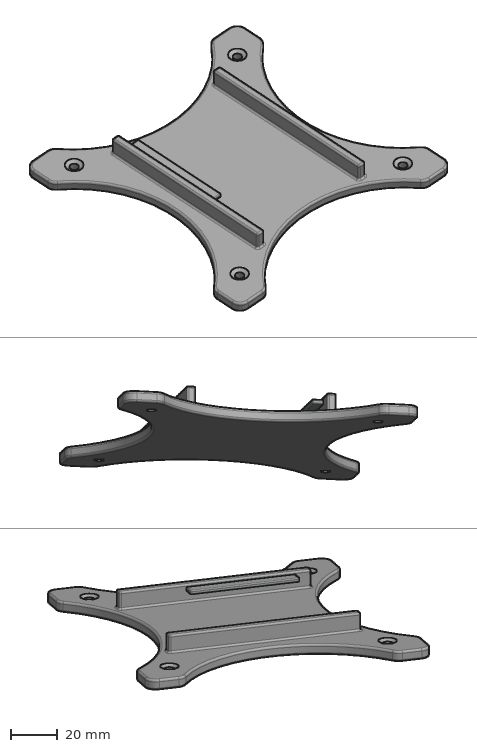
import cadquery as cq
import math

plate_size = 130.0
plate_thickness = 5.0
edge_round = 1.0
corner_radius = 5.0
scallop_radius = 60.0
scallop_distance = 100.1

hole_spacing = 100.0
hole_diameter = 4.0
countersink_diameter = 8.0
countersink_depth = 1.0

rail_length = 88.0
rail_width = 4.0
rail_spacing = 62.0
rail_top = 13.0
rail_round = 0.9
foot_radius = 0.9

ledge_length = 50.0
ledge_center_x = -11.8
ledge_reach = 5.0
ledge_thickness = 2.0
ledge_bottom = 9.6
ledge_round = 0.5

half_plate = plate_size / 2
rail_y = rail_spacing / 2
tolerance = 0.01


def make_plate():
    plate = cq.Workplane("XY").rect(plate_size, plate_size).extrude(plate_thickness)
    scallops = (
        cq.Workplane("XY")
        .polarArray(scallop_distance, 0, 360, 4)
        .circle(scallop_radius)
        .extrude(plate_thickness)
    )
    plate = plate.cut(scallops)

    tip_edges = plate.edges("|Z").filter(
        lambda edge: max(abs(edge.Center().x), abs(edge.Center().y)) > half_plate - tolerance
    )
    plate = tip_edges.fillet(corner_radius)
    return plate.faces("<Z or >Z").edges().fillet(edge_round)


def drill_holes(plate):
    cone_reach = (countersink_diameter - hole_diameter) / 2
    countersink_angle = 2 * math.degrees(math.atan(cone_reach / countersink_depth))
    return (
        plate.faces(">Z")
        .workplane(origin=(0, 0, plate_thickness))
        .rect(hole_spacing, hole_spacing, forConstruction=True)
        .vertices()
        .cskHole(hole_diameter, countersink_diameter, countersink_angle)
    )


def add_rail(body, y):
    rail = (
        cq.Workplane("XY", origin=(0, y, plate_thickness))
        .rect(rail_length, rail_width)
        .extrude(rail_top - plate_thickness)
        .edges("|Z or >Z")
        .fillet(rail_round)
    )
    foot_zone = cq.selectors.BoxSelector(
        (-rail_length, y - rail_width, plate_thickness - tolerance),
        (rail_length, y + rail_width, plate_thickness + tolerance),
    )
    return body.union(rail).edges(foot_zone).fillet(foot_radius)


def make_ledge():
    inner_face_y = -rail_y + rail_width / 2
    depth = ledge_reach + rail_width / 2
    return (
        cq.Workplane("XY", origin=(ledge_center_x, inner_face_y + ledge_reach - depth / 2, ledge_bottom))
        .rect(ledge_length, depth)
        .extrude(ledge_thickness)
        .faces(">Y or <X or >X")
        .edges()
        .fillet(ledge_round)
    )


result = drill_holes(make_plate())
for y in (-rail_y, rail_y):
    result = add_rail(result, y)
result = result.union(make_ledge())